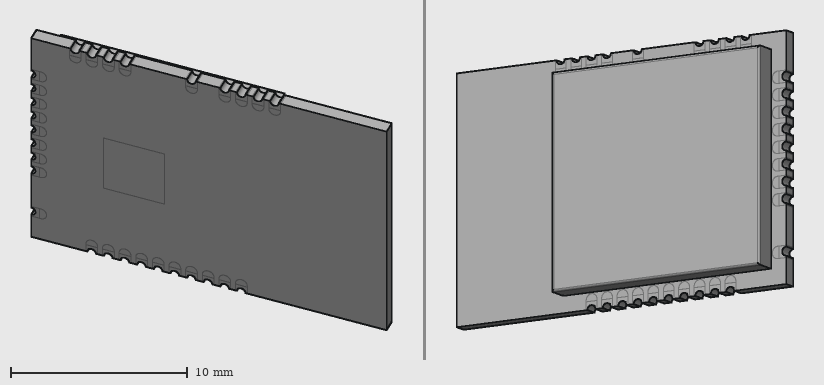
import cadquery as cq

board_length = 21.72
board_height = 14.73
board_thickness = 0.8
overall_depth = 2.1

shield_margin = 1.0
shield_length = 13.68
shield_height = board_height - 2 * shield_margin
shield_depth = overall_depth - board_thickness
shield_edge_radius = 0.13

notch_radius = 0.25
pad_width = 0.72
pad_length = 0.93
plating_length = 0.5
pad_end_radius = pad_width / 2
pad_straight_length = pad_length - pad_end_radius

bottom_pad_count = 10
bottom_row_span = 9.15
pitch = bottom_row_span / (bottom_pad_count - 1)

first_bottom_pad_x = 3.7
first_top_pad_x = first_bottom_pad_x - pitch
first_left_pad_z = 1.91
bottom_steps = range(bottom_pad_count)
top_steps = (0, 1, 2, 3, 7, 9, 10, 11, 12)
left_steps = (0, 3, 4, 5, 6, 7, 8, 9, 10)

square_size = 3.71
square_x = 4.4
square_z = 5.04


def through_board(outline):
    """Extrude an outline in the XZ plane from Y = 0 through the board thickness."""
    return outline.extrude(-board_thickness)


def pad_positions():
    """(x, z, inward angle in the XZ plane) of every pad, each on a board edge."""
    bottom = [(first_bottom_pad_x + step * pitch, 0, 90) for step in bottom_steps]
    top = [(first_top_pad_x + step * pitch, board_height, -90) for step in top_steps]
    left = [(0, first_left_pad_z + step * pitch, 0) for step in left_steps]
    return bottom + top + left


def make_plating_strip():
    """Edge strip of a pad that points inward along +X."""
    return through_board(
        cq.Workplane("XZ").center(plating_length / 2, 0).rect(plating_length, pad_width)
    )


def make_land():
    """Round-ended rest of a pad, starting where the plating strip ends."""
    return through_board(
        cq.Workplane("XZ")
        .moveTo(plating_length, -pad_end_radius)
        .lineTo(pad_straight_length, -pad_end_radius)
        .threePointArc((pad_length, 0), (pad_straight_length, pad_end_radius))
        .lineTo(plating_length, pad_end_radius)
        .close()
    )


def make_notch():
    """Round cutter turned so that its seam lies outside the board."""
    cutter = through_board(cq.Workplane("XZ").circle(notch_radius))
    return cutter.rotate((0, 0, 0), (0, 1, 0), 180)


def place_on_edge(shape, x, z, angle):
    """Turn a +X pointing shape to its inward direction and move it to its edge."""
    return shape.rotate((0, 0, 0), (0, -1, 0), angle).translate((x, 0, z))


def make_board():
    """Board with flush copper areas; their borders stay as edges on its faces."""
    board = cq.Workplane("XY").box(board_length, board_thickness, board_height, centered=False)
    square = through_board(
        cq.Workplane("XZ", origin=(square_x, 0, square_z)).rect(square_size, square_size, centered=False)
    )
    copper_areas = [square.val()]
    notches = []
    for position in pad_positions():
        copper_areas.append(place_on_edge(make_plating_strip(), *position).val())
        copper_areas.append(place_on_edge(make_land(), *position).val())
        notches.append(place_on_edge(make_notch(), *position).val())

    return cq.Workplane(board.val().fuse(*copper_areas).cut(*notches))


def make_shield():
    """Flat can on the back of the board, with a rounded outer rim."""
    shield = cq.Workplane("XY").box(shield_length, shield_depth, shield_height, centered=False)
    shield = shield.faces(">Y").edges().fillet(shield_edge_radius)
    return shield.translate((shield_margin, board_thickness, shield_margin))


result = make_board().union(make_shield(), clean=False)